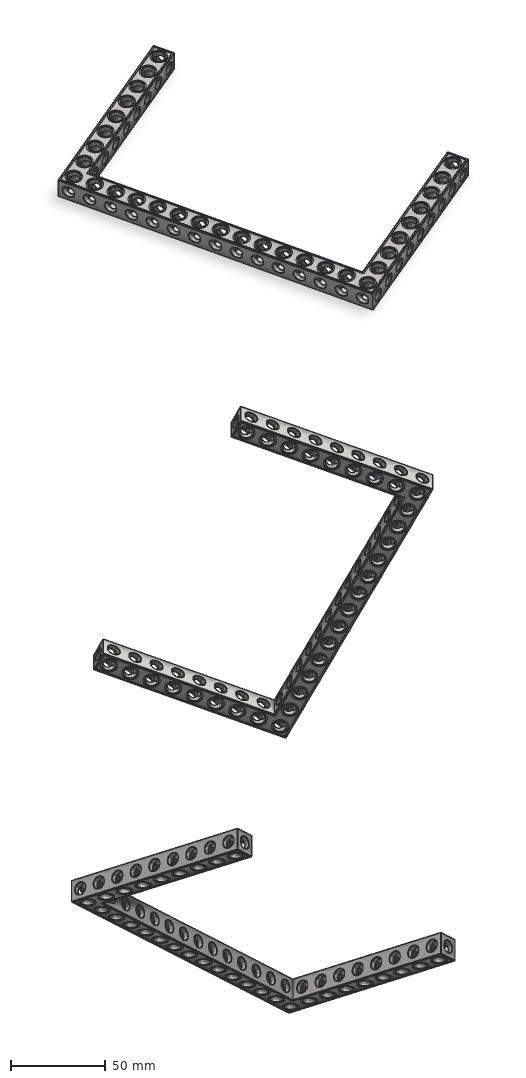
import cadquery as cq
import math

length = 187.5
holes_across = 15
holes_along = 9
edge_chamfer = 0.3
hole_diameter = 7.0
panel_margin = 1.1
panel_depth = 0.2

pitch = length / holes_across
depth = holes_along * pitch
height = pitch
mouth_diameter = hole_diameter + 2 * edge_chamfer
ring_diameter = hole_diameter + 2 * panel_margin

columns = [(i - (holes_across - 1) / 2) * pitch for i in range(holes_across)]
rows = [(j - (holes_along - 1) / 2) * pitch for j in range(holes_along)]
arm_columns = (columns[0], columns[-1])
beam_row = rows[0]
vertical_spots = [(x, beam_row) for x in columns]
vertical_spots += [(x, y) for x in arm_columns for y in rows[1:]]


def u_outline(inset, cut=0):
    """Corner points of the U, open towards +Y, with every side moved into the material by the inset.

    A cut above zero takes every corner but the two inside ones off at 45 degrees.
    """
    outer_x = length / 2 - inset
    inner_x = length / 2 - pitch + inset
    outer_y = -depth / 2 + inset
    inner_y = -depth / 2 + pitch - inset
    end_y = depth / 2 - inset
    right_half = [(outer_x, outer_y), (outer_x, end_y), (inner_x, end_y)]
    if cut > 0:
        right_half = [
            (outer_x - cut, outer_y),
            (outer_x, outer_y + cut),
            (outer_x, end_y - cut),
            (outer_x - cut, end_y),
            (inner_x + cut, end_y),
            (inner_x, end_y - cut),
        ]
    right_half.append((inner_x, inner_y))
    left_half = [(-x, y) for x, y in reversed(right_half)]
    return right_half + left_half


def frame():
    """Square-section U with its corners and its top and bottom edges chamfered."""
    bevel_base = height / 2 - edge_chamfer
    top_cut = edge_chamfer - edge_chamfer * (2 - math.sqrt(2))
    base_outline = u_outline(0, edge_chamfer)
    top_outline = u_outline(edge_chamfer, top_cut)
    middle = cq.Workplane("XY").polyline(base_outline).close().extrude(bevel_base, both=True)
    bevel = (
        cq.Workplane("XY", origin=(0, 0, bevel_base))
        .polyline(base_outline)
        .close()
        .workplane(offset=edge_chamfer)
        .polyline(top_outline)
        .close()
        .loft(ruled=True)
    )
    return middle.union(bevel).union(bevel.mirror("XY"))


def sunken_panel():
    """Shallow U-shaped recess in the top face, leaving a flush ring round each hole."""
    floor = cq.Workplane("XY", origin=(0, 0, height / 2 - panel_depth))
    recess = floor.polyline(u_outline(panel_margin)).close().extrude(panel_depth)
    rings = floor.pushPoints(vertical_spots).circle(ring_diameter / 2).extrude(panel_depth)
    return recess.cut(rings)


def hole_cutter(span):
    """Through hole along Z, centred on the origin, with a chamfered mouth at both ends."""
    end = span / 2
    bore = hole_diameter / 2
    mouth = mouth_diameter / 2
    profile = [
        (0, -end),
        (mouth, -end),
        (bore, -end + edge_chamfer),
        (bore, end - edge_chamfer),
        (mouth, end),
        (0, end),
    ]
    return cq.Workplane("XZ").polyline(profile).close().revolve(360, (0, 0, 0), (0, 1, 0)).val()


def turned_to_x(cutter):
    return cutter.rotate(cq.Vector(0, 0, 0), cq.Vector(0, 1, 0), 90)


def turned_to_y(cutter):
    return cutter.rotate(cq.Vector(0, 0, 0), cq.Vector(1, 0, 0), 90)


short_hole = hole_cutter(pitch)
cutters = [short_hole.translate((x, y, 0)) for x, y in vertical_spots]

cutters += [turned_to_y(short_hole).translate((x, beam_row, 0)) for x in columns[1:-1]]
cutters += [turned_to_y(hole_cutter(depth)).translate((x, 0, 0)) for x in arm_columns]

cutters += [turned_to_x(short_hole).translate((x, y, 0)) for x in arm_columns for y in rows[1:]]
cutters.append(turned_to_x(hole_cutter(length)).translate((0, beam_row, 0)))

top_panel = sunken_panel()
bottom_panel = top_panel.mirror("XY")
panelled_frame = frame().cut(top_panel).cut(bottom_panel)
result = panelled_frame.newObject([panelled_frame.val().cut(*cutters)]).solids()